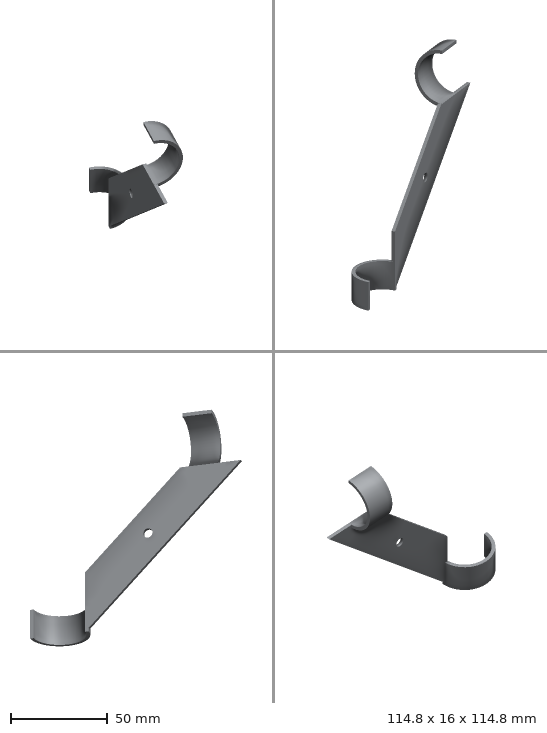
import cadquery as cq

span = 114.8
clip_radius = 16.0
thickness = 2.0
clip_width = 16.0
upper_clip_start = 83.0
side_edge_top = 33.1
hole_diameter = 5.0
hole_x = 64.2

plate_left = 2 * clip_radius - thickness
plate_top = span - plate_left


def half_ring():
    """Half ring on the +Y side of its axis, extruded along Z from the origin."""
    inner_radius = clip_radius - thickness
    return (
        cq.Workplane("XY")
        .moveTo(-clip_radius, 0)
        .threePointArc((0, clip_radius), (clip_radius, 0))
        .lineTo(inner_radius, 0)
        .threePointArc((0, inner_radius), (-inner_radius, 0))
        .close()
        .extrude(clip_width)
    )


def plate():
    """Flat 45-degree strip, symmetric about the line X + Z = span, with a central hole."""
    outline = [
        (plate_left, 0),
        (span, plate_top),
        (span - side_edge_top, plate_top),
        (plate_left, side_edge_top),
    ]
    strip = cq.Workplane("XZ").polyline(outline).close().extrude(-thickness)
    hole = (
        cq.Workplane("XZ")
        .center(hole_x, span - hole_x)
        .circle(hole_diameter / 2)
        .extrude(-thickness)
    )
    return strip.cut(hole)


lower_clip = half_ring().translate((clip_radius, 0, 0))
upper_clip = (
    half_ring()
    .rotate((0, 0, 0), (0, 1, 0), 90)
    .translate((upper_clip_start, 0, span - clip_radius))
)

result = plate().union(lower_clip).union(upper_clip)